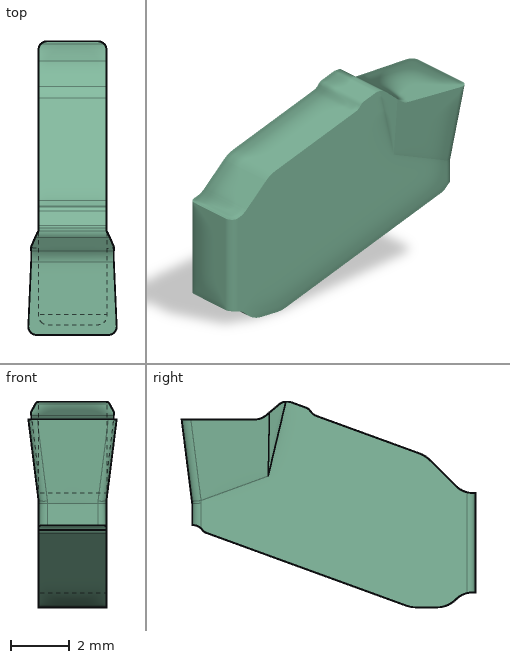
import cadquery as cq
import math


length = 10.0
body_half_width = 1.16
slope = math.tan(math.radians(20))
corner_radius = 0.3

rake_height = 6.4
rake_end = 2.71
chip_wall_slope = math.tan(math.radians(40))
ridge_height = 7.0
ridge_front = rake_end + (ridge_height - rake_height) / chip_wall_slope
ridge_rear = 3.69
chip_floor_radius = 0.6
ridge_front_radius = 0.33
ridge_rear_radius = 0.26

front_wall_y = 0.36
front_wall_top = 3.54
front_wall_bottom = 2.8

upper_step_rear = 4.48
upper_step_front = 4.32
upper_step_height = 6.56
step_root_radius = 0.4
step_nose_radius = 0.3
lower_step_front = 0.59
lower_step_rear = 0.76

rear_top = 3.9
rear_bottom = 0.51
rear_land = 0.43
rear_y = length - rear_land
rear_root_radius = 0.81
rear_top_radius = 1.1
rear_base_radius = 0.92
base_front = 7.81
base_front_radius = 1.0
bevel_top_y = (rear_y + rear_top - upper_step_height - slope * upper_step_rear) / (1 - slope)
bevel_top_height = rear_top + rear_y - bevel_top_y
bevel_base_y = rear_y - rear_bottom

flare_angle = 7.3
flare_rise = math.tan(math.radians(flare_angle))
shoulder_rise = 0.56
shoulder_root_y = 2.95
shoulder_root = (shoulder_root_y, front_wall_top + slope * (shoulder_root_y - front_wall_y))
shoulder_top = (3.55, ridge_height)
flare_half_limit = 2.0
reach = 12.0


def rounded_profile(corners):
    """Closed YZ wire from (y, z, radius) corners, with tangent arcs at nonzero radii."""
    stops = []
    for i, (y, z, radius) in enumerate(corners):
        corner = cq.Vector(y, z, 0)
        before = cq.Vector(*corners[i - 1][:2], 0)
        after = cq.Vector(*corners[(i + 1) % len(corners)][:2], 0)
        to_before = (before - corner).normalized()
        to_after = (after - corner).normalized()
        if radius == 0:
            stops.append((corner, None, corner))
            continue
        half_angle = to_before.getAngle(to_after) / 2
        setback = radius / math.tan(half_angle)
        bisector = (to_before + to_after).normalized()
        middle = corner + bisector * (radius / math.sin(half_angle) - radius)
        stops.append((corner + to_before * setback, middle, corner + to_after * setback))
    path = cq.Workplane("YZ").moveTo(stops[0][2].x, stops[0][2].y)
    for start, middle, end in stops[1:] + stops[:1]:
        path = path.lineTo(start.x, start.y)
        if middle is not None:
            path = path.threePointArc((middle.x, middle.y), (end.x, end.y))
    return path.close()


def widening_prism(root_start, root_end, rise):
    """Prism that is as wide as the body at a YZ root line and widens upward or forward from it."""
    dy = root_end[0] - root_start[0]
    dz = root_end[1] - root_start[1]
    plane = cq.Plane(origin=(0, *root_start), xDir=(1, 0, 0), normal=(0, dy, dz))
    wide = body_half_width + rise * reach
    outline = [(-body_half_width, 0), (body_half_width, 0), (wide, -reach), (-wide, -reach)]
    return cq.Workplane(plane).polyline(outline).close().extrude(reach, both=True)


profile = [
    (0, rake_height, 0),
    (rake_end, rake_height, chip_floor_radius),
    (ridge_front, ridge_height, ridge_front_radius),
    (ridge_rear, ridge_height, ridge_rear_radius),
    (upper_step_front, ridge_height - slope * (upper_step_front - ridge_rear), step_nose_radius),
    (upper_step_rear, upper_step_height, step_root_radius),
    (bevel_top_y, bevel_top_height, rear_top_radius),
    (rear_y, rear_top, rear_root_radius),
    (length, rear_top, 0),
    (length, rear_bottom, 0),
    (rear_y, rear_bottom, rear_root_radius),
    (bevel_base_y, 0, rear_base_radius),
    (base_front, 0, base_front_radius),
    (lower_step_rear, slope * (base_front - lower_step_rear), step_nose_radius),
    (lower_step_front, front_wall_bottom, step_root_radius),
    (front_wall_y, front_wall_bottom, 0),
    (front_wall_y, front_wall_top, 0),
]


def round_front_edges(part):
    """Round the upright edges where the front faces meet the flanks."""
    front_zone = cq.selectors.BoxSelector(
        (-flare_half_limit, -0.1, front_wall_bottom),
        (flare_half_limit, front_wall_y + 0.01, rake_height - 0.1),
    )
    return part.edges(front_zone).edges("not |X").fillet(corner_radius)


body = rounded_profile(profile).extrude(body_half_width, both=True)
body = body.faces(">Y").edges("|Z").fillet(corner_radius)
body = round_front_edges(body)

head = rounded_profile(profile).extrude(flare_half_limit, both=True)
head = head.intersect(widening_prism((front_wall_y, front_wall_top), shoulder_root, flare_rise))
head = head.intersect(widening_prism(shoulder_root, shoulder_top, shoulder_rise))
head = round_front_edges(head)

result = body.union(head)